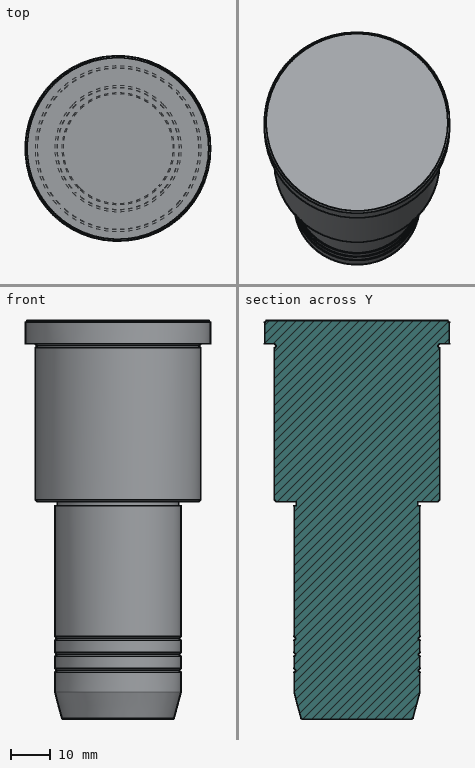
import cadquery as cq
import math

total_height = 101.0
head_radius = 47.0 / 2
head_height = 6.0
head_chamfer = 0.5
body_radius = 42.0 / 2
body_bottom_depth = 46.0
body_chamfer = 0.6
shank_radius = 32.0 / 2

relief_width = 0.9
relief_depth = 0.6

v_groove_width = 1.0
v_groove_depth = 0.5
ring_groove_pitch = 4.0
lowest_groove_height = 12.4
ring_groove_count = 3

taper_height = 7.0
taper_angle = 15.0
tip_chamfer = 0.25

head_bottom = total_height - head_height
body_bottom = total_height - body_bottom_depth
tip_radius = shank_radius - taper_height * math.tan(math.radians(taper_angle))


def cylinder(radius, bottom, top):
    """Solid cylinder on the Z axis between two heights."""
    return cq.Workplane("XY").workplane(offset=bottom).circle(radius).extrude(top - bottom)


def square_groove(radius, depth, bottom, width):
    """Ring that cuts a square groove into a cylinder of the given radius."""
    section = cq.Workplane("XY").workplane(offset=bottom).circle(radius).circle(radius - depth)
    return section.extrude(width)


def v_groove(radius, centre_height):
    """Ring that cuts a V groove into a cylinder of the given radius."""
    half_width = v_groove_width / 2
    section = cq.Workplane("XZ").polyline([
        (radius, centre_height - half_width),
        (radius - v_groove_depth, centre_height),
        (radius, centre_height + half_width),
    ]).close()
    return section.revolve(360, (0, 0, 0), (0, 1, 0))


head = cylinder(head_radius, head_bottom, total_height).faces(">Z").chamfer(head_chamfer)

body = cylinder(body_radius, body_bottom, head_bottom).faces("<Z").chamfer(body_chamfer)
body = body.cut(v_groove(body_radius, head_bottom - v_groove_width / 2))

shank = cylinder(shank_radius, taper_height, body_bottom)
shank = shank.cut(square_groove(shank_radius, relief_depth, body_bottom - relief_width, relief_width))
for index in range(ring_groove_count):
    groove_height = lowest_groove_height + index * ring_groove_pitch
    shank = shank.cut(v_groove(shank_radius, groove_height))

tip = (
    cq.Workplane("XY")
    .circle(tip_radius)
    .workplane(offset=taper_height)
    .circle(shank_radius)
    .loft(ruled=True)
    .faces("<Z")
    .chamfer(tip_chamfer)
)

result = head.union(body).union(shank).union(tip)